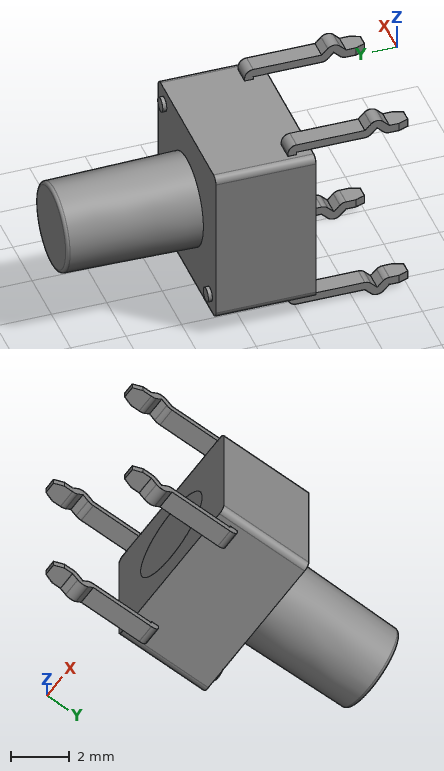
import cadquery as cq
import math

HOUSING_SIDE = 5.99
HOUSING_DEPTH = 3.62
HOUSING_CORNER_RADIUS = 0.25

BUTTON_BACK_RADIUS = 1.75
BUTTON_TIP_RADIUS = 1.61
BUTTON_LENGTH = 8.52
BUTTON_EDGE_RADIUS = 0.12

PEG_RADIUS = 0.26
PEG_HEIGHT = 0.15
PEG_OFFSET = 2.37

OVERALL_LENGTH = 12.01
OVERALL_HEIGHT = 7.45
PIN_THICKNESS = 0.31
PIN_WIDTH = 0.7
PIN_X = 2.25
PIN_TIP_Y = BUTTON_LENGTH - OVERALL_LENGTH
PIN_FRONT_Y = 0.88
PIN_KINK_Y = -2.34
PIN_KINK_ANGLE = math.radians(45)
PIN_TAPER_LENGTH = 0.36
PIN_TIP_WIDTH = 0.43

PIN_OUTER_Z = OVERALL_HEIGHT / 2 - PIN_THICKNESS
PIN_INNER_Z = PIN_OUTER_Z - PIN_THICKNESS


def make_cone(front_radius, length):
    """Cone frustum along +Y from the button's back radius to front_radius."""
    return (
        cq.Workplane("YZ")
        .lineTo(length, 0)
        .lineTo(length, front_radius)
        .lineTo(0, BUTTON_BACK_RADIUS)
        .close()
        .revolve(360, (0, 0, 0), (1, 0, 0))
    )


def make_button():
    """Tapered plunger along +Y with a rounded tip edge."""
    cone = make_cone(BUTTON_TIP_RADIUS, BUTTON_LENGTH)
    return cone.faces(">Y").edges().fillet(BUTTON_EDGE_RADIUS)


def make_button_bore():
    """Cone that fits the button inside the housing."""
    slope = (BUTTON_TIP_RADIUS - BUTTON_BACK_RADIUS) / BUTTON_LENGTH
    front_radius = BUTTON_BACK_RADIUS + slope * HOUSING_DEPTH
    return make_cone(front_radius, HOUSING_DEPTH)


def make_housing():
    """Block with corners rounded along Y and a tapered bore for the button."""
    block = (
        cq.Workplane("XY")
        .box(HOUSING_SIDE, HOUSING_DEPTH, HOUSING_SIDE, centered=(True, False, True))
        .edges("|Y")
        .fillet(HOUSING_CORNER_RADIUS)
    )
    return block.cut(make_button_bore())


def make_peg(x, z):
    """Round stud standing on the front face of the housing."""
    return (
        cq.Workplane("XZ", origin=(x, HOUSING_DEPTH, z))
        .circle(PEG_RADIUS)
        .extrude(-PEG_HEIGHT)
    )


def make_pin_strip():
    """Bent strip above the housing, centred on X = 0, with a square end."""
    diagonal = PIN_THICKNESS * math.sin(PIN_KINK_ANGLE)
    half_diagonal = PIN_THICKNESS * math.sin(PIN_KINK_ANGLE / 2)
    half_rise = PIN_THICKNESS * math.cos(PIN_KINK_ANGLE / 2)
    kink_half_length = 2 * diagonal
    bend_y = PIN_FRONT_Y - PIN_THICKNESS
    kink_start_y = PIN_KINK_Y + kink_half_length
    kink_end_y = PIN_KINK_Y - kink_half_length
    housing_top = HOUSING_SIDE / 2

    return (
        cq.Workplane("YZ")
        .moveTo(bend_y, housing_top)
        .lineTo(PIN_FRONT_Y, housing_top)
        .lineTo(PIN_FRONT_Y, PIN_INNER_Z)
        .threePointArc((bend_y + diagonal, PIN_INNER_Z + diagonal), (bend_y, PIN_OUTER_Z))
        .lineTo(kink_start_y, PIN_OUTER_Z)
        .lineTo(PIN_KINK_Y + diagonal, PIN_OUTER_Z + diagonal)
        .threePointArc(
            (PIN_KINK_Y, PIN_OUTER_Z + PIN_THICKNESS),
            (PIN_KINK_Y - diagonal, PIN_OUTER_Z + diagonal),
        )
        .lineTo(kink_end_y, PIN_OUTER_Z)
        .lineTo(PIN_TIP_Y, PIN_OUTER_Z)
        .lineTo(PIN_TIP_Y, PIN_INNER_Z)
        .lineTo(kink_end_y, PIN_INNER_Z)
        .threePointArc(
            (kink_end_y + half_diagonal, PIN_OUTER_Z - half_rise),
            (kink_end_y + diagonal, PIN_OUTER_Z - diagonal),
        )
        .lineTo(PIN_KINK_Y, PIN_OUTER_Z)
        .lineTo(kink_start_y - diagonal, PIN_OUTER_Z - diagonal)
        .threePointArc(
            (kink_start_y - half_diagonal, PIN_OUTER_Z - half_rise),
            (kink_start_y, PIN_INNER_Z),
        )
        .lineTo(bend_y, PIN_INNER_Z)
        .close()
        .extrude(PIN_WIDTH / 2, both=True)
    )


def make_upper_pin():
    """Strip with its end narrowed on both sides."""
    taper_y = PIN_TIP_Y + PIN_TAPER_LENGTH
    plan = (
        cq.Workplane("XY")
        .moveTo(-PIN_WIDTH / 2, PIN_FRONT_Y)
        .lineTo(PIN_WIDTH / 2, PIN_FRONT_Y)
        .lineTo(PIN_WIDTH / 2, taper_y)
        .lineTo(PIN_TIP_WIDTH / 2, PIN_TIP_Y)
        .lineTo(-PIN_TIP_WIDTH / 2, PIN_TIP_Y)
        .lineTo(-PIN_WIDTH / 2, taper_y)
        .close()
        .extrude(OVERALL_HEIGHT / 2)
    )
    return make_pin_strip().intersect(plan)


def make_pin(x_side, z_side):
    """Pin on the left or right (x_side) and above or below (z_side)."""
    pin = make_upper_pin()
    if z_side < 0:
        pin = pin.mirror("XY")
    return pin.translate((x_side * PIN_X, 0, 0))


housing = make_housing()
button = make_button()
pegs = [make_peg(side * PEG_OFFSET, side * PEG_OFFSET) for side in (-1, 1)]
pins = [make_pin(x_side, z_side) for x_side in (-1, 1) for z_side in (-1, 1)]

result = cq.Compound.makeCompound(
    [housing.val(), button.val(), *[peg.val() for peg in pegs], *[pin.val() for pin in pins]]
)